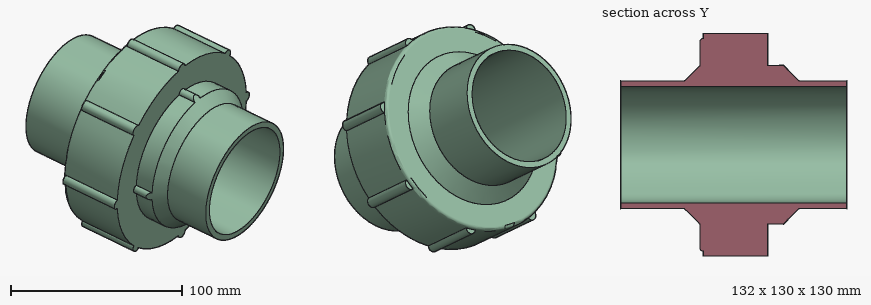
import cadquery as cq

length = 132.0
bore_radius = 67.8 / 2
tube_radius = 75.0 / 2

nut_start = 46.2
nut_end = 85.9
collar_end = 97.5

shoulder_radius = 46.5
nut_radius = 62.2
nut_edge_fillet = 2.0
collar_radius = 44.0

nut_rib_count = 8
nut_rib_tip = 130.0 / 2
nut_rib_radius = 3.3

collar_rib_count = 4
collar_rib_radius = 2.6
collar_rib_tip = shoulder_radius

front_cone_start = nut_start - (shoulder_radius - tube_radius)
back_cone_end = collar_end + (collar_radius - tube_radius)


def revolve_about_x(points):
    """Revolve a closed (x, radius) outline about the X axis."""
    return cq.Workplane("XY").polyline(points).close().revolve(360, (0, 0, 0), (1, 0, 0))


def make_body():
    return revolve_about_x([
        (0, 0),
        (0, tube_radius),
        (front_cone_start, tube_radius),
        (nut_start, shoulder_radius),
        (nut_end, shoulder_radius),
        (nut_end, tube_radius),
        (length, tube_radius),
        (length, 0),
    ])


def make_nut():
    nut = cq.Workplane("YZ", origin=(nut_start, 0, 0)).circle(nut_radius).extrude(nut_end - nut_start)
    return nut.faces("<X").edges().fillet(nut_edge_fillet)


def make_nut_rib():
    """One rib at the top of the nut."""
    rib_start = nut_start + nut_edge_fillet
    return (
        cq.Workplane("YZ", origin=(rib_start, 0, 0))
        .center(0, nut_rib_tip - nut_rib_radius)
        .circle(nut_rib_radius)
        .extrude(nut_end - rib_start)
    )


def add_around_axis(solid, feature, count):
    for index in range(count):
        angle = index * 360 / count
        solid = solid.union(feature.rotate((0, 0, 0), (1, 0, 0), angle))
    return solid


def make_collar():
    """Ribbed collar, with one 45 degree cone trimming the collar and its ribs."""
    rough_length = back_cone_end - nut_end
    start_plane = cq.Workplane("YZ", origin=(nut_end, 0, 0))
    collar = start_plane.circle(collar_radius).extrude(rough_length)
    rib_center = collar_rib_tip - collar_rib_radius
    rib = start_plane.center(0, rib_center).circle(collar_rib_radius).extrude(rough_length)
    collar = add_around_axis(collar, rib, collar_rib_count)
    trim_radius = collar_rib_tip + collar_rib_radius
    trim = revolve_about_x([
        (nut_end, 0),
        (nut_end, trim_radius),
        (collar_end - (trim_radius - collar_radius), trim_radius),
        (back_cone_end, tube_radius),
        (back_cone_end, 0),
    ])
    return collar.intersect(trim)


result = make_body().union(make_nut()).union(make_collar())
result = add_around_axis(result, make_nut_rib(), nut_rib_count)

bore = cq.Workplane("YZ").circle(bore_radius).extrude(length)
result = result.cut(bore)